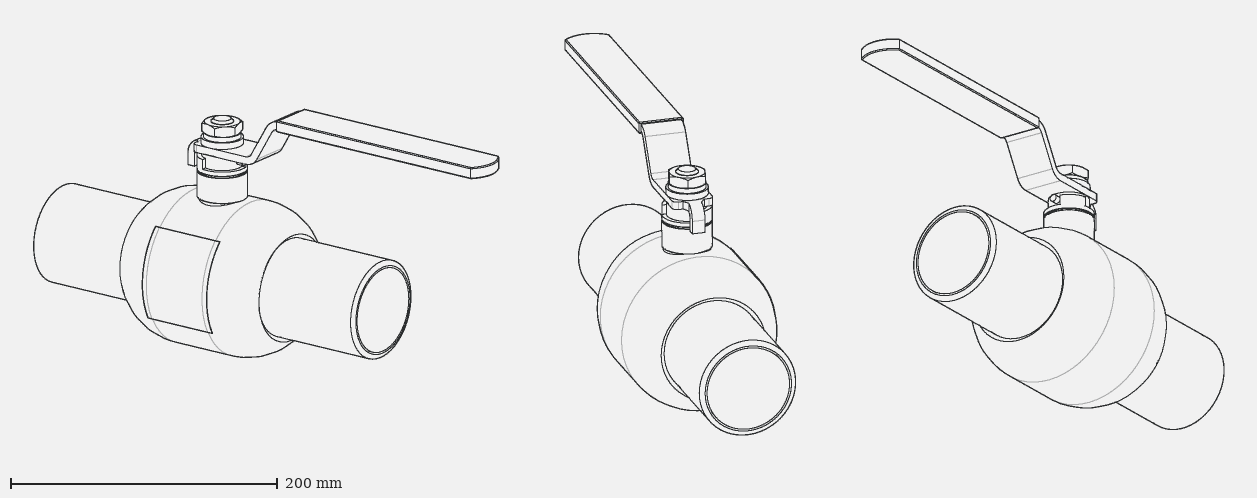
import cadquery as cq
import math


valve_length = 300.0
pipe_radius = 38.0
bore_radius = 32.5
bevel_end_radius = 34.0
bevel_length = 2.0
body_radius = 60.0
body_half_length = 65.0
body_straight_half = 26.0
body_shoulder_radius = 50.0
weld_groove_depth = 3.0

label_thickness = 0.5
label_length = 60.0
label_height = 70.0
label_centre_z = 6.5

neck_radius = 19.0
neck_bottom = 60.0
spigot_radius = 18.0
neck_top = 80.0
neck_groove_height = 1.5
neck_groove_depth = 1.0
collar_ledge_z = 85.0
core_radius = 15.5
lug_top = 92.5
lug_offset = 4.8
pin_radius = 2.8
pin_half_length = 20.5
pin_z = 90.7

strip = 6.0
lever_width = 32.0
bend_inner = 6.0
bend_outer = bend_inner + strip
lever_top = 102.0
lever_bottom = lever_top - strip
handle_top = 135.5
handle_bottom = handle_top - strip
first_bend_x = 33.7
rise_angle = math.radians(60)
tab_width = 10.0
tab_face_x = -28.4
tab_bottom = 80.0
plate_end_x = -16.4
plate_corner = 4.0
flare_length = 3.6
flare_half_width = 8.6

grip_start = 63.5
grip_straight_end = 245.0
grip_width = 35.0
grip_end_radius = 25.0
grip_wall = 1.5
grip_chamfer = 0.8

disc_radius = 16.0
disc_top = 107.0
washer_radius = 14.2
nut_bottom = 110.7
nut_top = 119.0
nut_across_flats = 27.0
nut_turn = -15.0
nut_chamfer_height = 1.2
stem_radius = 8.6
stem_top = 121.3
stem_chamfer = 2.0


def cylinder(radius, bottom, top):
    """Vertical cylinder on the stem axis."""
    return cq.Workplane("XY").workplane(offset=bottom).circle(radius).extrude(top - bottom)


def box(x_range, y_range, z_range):
    """Box given by its limits along each axis."""
    (x0, x1), (y0, y1), (z0, z1) = x_range, y_range, z_range
    return cq.Workplane("XY").box(x1 - x0, y1 - y0, z1 - z0, centered=False).translate((x0, y0, z0))


def shoulder_height(x, offset):
    """Distance from the pipe axis to the rounded shoulder at x, with the surface moved out by offset."""
    radius = body_shoulder_radius + offset
    centre_height = body_radius - body_shoulder_radius
    return centre_height + math.sqrt(radius**2 - (x - body_straight_half) ** 2)


def barrel(offset):
    """Round body moved out by offset, with a conical weld groove around the pipe at each end."""
    end_radius = shoulder_height(body_half_length, offset)
    middle_x = (body_straight_half + body_half_length) / 2
    middle_radius = shoulder_height(middle_x, offset)
    groove_x = body_half_length - weld_groove_depth
    half = (
        cq.Workplane("XY")
        .lineTo(0, body_radius + offset)
        .lineTo(body_straight_half, body_radius + offset)
        .threePointArc((middle_x, middle_radius), (body_half_length, end_radius))
        .lineTo(groove_x, pipe_radius)
        .lineTo(groove_x, 0)
        .close()
        .revolve(360, (0, 0, 0), (1, 0, 0))
    )
    return half.union(half.mirror("YZ"))


def pipe():
    """Pipe stubs with weld bevels at both ends."""
    end = valve_length / 2
    outline = [
        (-end, 0),
        (-end, bevel_end_radius),
        (-end + bevel_length, pipe_radius),
        (end - bevel_length, pipe_radius),
        (end, bevel_end_radius),
        (end, 0),
    ]
    return cq.Workplane("XY").polyline(outline).close().revolve(360, (0, 0, 0), (1, 0, 0))


def label_plate():
    """Thin plate that follows the curved surface on the -Y side of the body."""
    half_length = label_length / 2
    bottom = label_centre_z - label_height / 2
    window = box(
        (-half_length, half_length),
        (-body_radius - label_thickness, -pipe_radius),
        (bottom, bottom + label_height),
    )
    return barrel(label_thickness).intersect(window)


def neck():
    """Neck tube on a narrower spigot, with a shallow groove under the collar ledge and the stem core."""
    groove_top = neck_top + neck_groove_height
    spigot = cylinder(spigot_radius, 0, neck_bottom)
    tube = cylinder(neck_radius, neck_bottom, neck_top)
    groove = cylinder(neck_radius - neck_groove_depth, neck_top, groove_top)
    ledge = cylinder(neck_radius, groove_top, collar_ledge_z)
    core = cylinder(core_radius, collar_ledge_z, lever_bottom)
    return spigot.union(tube).union(groove).union(ledge).union(core)


def stop_collar():
    """Two opposite raised lugs that limit the turn, and a cross pin along X."""
    lug = cylinder(neck_radius, collar_ledge_z, lug_top).intersect(
        box(
            (lug_offset, neck_radius),
            (lug_offset, neck_radius),
            (collar_ledge_z, lug_top),
        )
    )
    pin = (
        cq.Workplane("YZ")
        .center(0, pin_z)
        .circle(pin_radius)
        .extrude(pin_half_length, both=True)
    )
    return lug.union(lug.rotate((0, 0, 0), (0, 0, 1), 180)).union(pin)


def lever_profile():
    """Side outline of the bent strip, extruded over the lever width."""
    sin_full = math.sin(rise_angle)
    cos_full = math.cos(rise_angle)
    sin_half = math.sin(rise_angle / 2)
    cos_half = math.cos(rise_angle / 2)

    low_z = lever_top + bend_inner
    high_z = handle_top - bend_outer
    slope_rise = (high_z + bend_outer * cos_full) - (low_z - bend_inner * cos_full)
    slope_run = slope_rise / math.tan(rise_angle)
    low_x = first_bend_x
    high_x = low_x + (bend_inner + bend_outer) * sin_full + slope_run
    tab_x = tab_face_x + bend_outer
    tab_z = lever_top - bend_outer

    def below_low(radius, sine, cosine):
        return (low_x + radius * sine, low_z - radius * cosine)

    def above_high(radius, sine, cosine):
        return (high_x - radius * sine, high_z + radius * cosine)

    def around_tab(radius):
        diagonal = radius * math.sqrt(0.5)
        return (tab_x - diagonal, tab_z + diagonal)

    return (
        cq.Workplane("XZ")
        .moveTo(tab_face_x, tab_bottom)
        .lineTo(tab_face_x, tab_z)
        .threePointArc(around_tab(bend_outer), (tab_x, lever_top))
        .lineTo(low_x, lever_top)
        .threePointArc(below_low(bend_inner, sin_half, cos_half), below_low(bend_inner, sin_full, cos_full))
        .lineTo(*above_high(bend_outer, sin_full, cos_full))
        .threePointArc(above_high(bend_outer, sin_half, cos_half), (high_x, handle_top))
        .lineTo(grip_straight_end, handle_top)
        .lineTo(grip_straight_end, handle_bottom)
        .lineTo(high_x, handle_bottom)
        .threePointArc(above_high(bend_inner, sin_half, cos_half), above_high(bend_inner, sin_full, cos_full))
        .lineTo(*below_low(bend_outer, sin_full, cos_full))
        .threePointArc(below_low(bend_outer, sin_half, cos_half), (low_x, lever_bottom))
        .lineTo(tab_x, lever_bottom)
        .threePointArc(around_tab(bend_inner), (tab_face_x + strip, tab_z))
        .lineTo(tab_face_x + strip, tab_bottom)
        .close()
        .extrude(lever_width / 2, both=True)
    )


def lever():
    """Bent strip narrowed to the tab at its -X end."""
    half_width = lever_width / 2
    half_tab = tab_width / 2
    arc_reach = plate_corner * math.sqrt(0.5)
    corner_x = plate_end_x + plate_corner
    corner_y = half_width - plate_corner
    flare_x = plate_end_x - flare_length
    plan = (
        cq.Workplane("XY")
        .workplane(offset=tab_bottom)
        .moveTo(grip_straight_end, half_width)
        .lineTo(corner_x, half_width)
        .threePointArc((corner_x - arc_reach, corner_y + arc_reach), (plate_end_x, corner_y))
        .lineTo(plate_end_x, flare_half_width)
        .lineTo(flare_x, half_tab)
        .lineTo(tab_face_x, half_tab)
        .lineTo(tab_face_x, -half_tab)
        .lineTo(flare_x, -half_tab)
        .lineTo(plate_end_x, -flare_half_width)
        .lineTo(plate_end_x, -corner_y)
        .threePointArc((corner_x - arc_reach, -corner_y - arc_reach), (corner_x, -half_width))
        .lineTo(grip_straight_end, -half_width)
        .close()
        .extrude(handle_top - tab_bottom)
    )
    return lever_profile().intersect(plan)


def grip():
    """Sleeve with a rounded far end and chamfered edges."""
    half_width = grip_width / 2
    sagitta = grip_end_radius - math.sqrt(grip_end_radius**2 - half_width**2)
    return (
        cq.Workplane("XY")
        .workplane(offset=handle_bottom - grip_wall)
        .moveTo(grip_start, -half_width)
        .lineTo(grip_straight_end, -half_width)
        .threePointArc((grip_straight_end + sagitta, 0), (grip_straight_end, half_width))
        .lineTo(grip_start, half_width)
        .close()
        .extrude(strip + 2 * grip_wall)
        .faces("<Z or >Z")
        .edges()
        .chamfer(grip_chamfer)
    )


def nut():
    """Hexagon nut with its corners chamfered at top and bottom."""
    corner_diameter = nut_across_flats / math.cos(math.pi / 6)
    height = nut_top - nut_bottom
    hexagon = (
        cq.Workplane("XY")
        .workplane(offset=nut_bottom)
        .polygon(6, corner_diameter)
        .extrude(height)
        .rotate((0, 0, 0), (0, 0, 1), nut_turn)
    )
    rounding = cylinder(corner_diameter / 2, nut_bottom, nut_top).edges().chamfer(
        nut_chamfer_height, corner_diameter / 2 - nut_across_flats / 2
    )
    return hexagon.intersect(rounding)


def stem_stack():
    """Disc, washer, nut and the stem end standing above the lever."""
    disc = cylinder(disc_radius, lever_top, disc_top)
    washer = cylinder(washer_radius, disc_top, nut_bottom)
    stem = cylinder(stem_radius, nut_bottom, stem_top).faces(">Z").chamfer(stem_chamfer)
    return disc.union(washer).union(nut()).union(stem)


def bore():
    """Straight flow passage through the whole valve."""
    return cq.Workplane("YZ").circle(bore_radius).extrude(valve_length / 2, both=True)


result = (
    barrel(0)
    .union(label_plate())
    .union(neck())
    .union(pipe())
    .union(stop_collar())
    .union(lever())
    .union(grip())
    .union(stem_stack())
    .cut(bore())
)